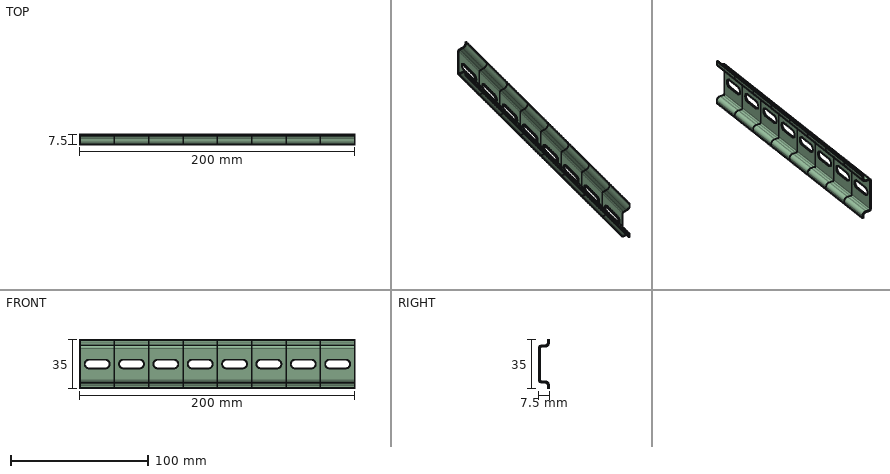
import cadquery as cq

rail_length = 200.0
segment_count = 8
segment_length = rail_length / segment_count

rail_height = 35.0
rail_depth = rail_height * 7.5 / 35
hat_height = 27.0
sheet_thickness = 1.0
web_bend_radius = 1.0
flange_bend_radius = 2.0

slot_length = 18.0
slot_width = 6.2

front_y = -rail_depth / 2
back_y = rail_depth / 2


def make_profile():
    """Closed top-hat outline: web at the front, flanges turned outwards at the back."""
    top_z = rail_height / 2
    hat_top_z = hat_height / 2
    hat_inner_z = hat_top_z - sheet_thickness
    flange_front_y = back_y - sheet_thickness
    web_back_y = front_y + sheet_thickness

    outer_path = [
        (flange_front_y, top_z),
        (flange_front_y, hat_top_z),
        (front_y, hat_top_z),
        (front_y, -hat_top_z),
        (flange_front_y, -hat_top_z),
        (flange_front_y, -top_z),
    ]
    inner_path = [
        (back_y, -top_z),
        (back_y, -hat_inner_z),
        (web_back_y, -hat_inner_z),
        (web_back_y, hat_inner_z),
        (back_y, hat_inner_z),
        (back_y, top_z),
    ]
    return cq.Workplane("YZ").polyline(outer_path + inner_path).close()


def round_bends(segment):
    """Round both sides of every bend, keeping the sheet thickness constant."""
    hat_outer_z = hat_height / 2
    hat_inner_z = hat_outer_z - sheet_thickness
    bends = [
        (back_y - sheet_thickness, hat_outer_z, flange_bend_radius),
        (back_y, hat_inner_z, flange_bend_radius + sheet_thickness),
        (front_y + sheet_thickness, hat_inner_z, web_bend_radius),
        (front_y, hat_outer_z, web_bend_radius + sheet_thickness),
    ]
    for y, z, radius in bends:
        for side in (1, -1):
            corner = (segment_length / 2, y, side * z)
            segment = segment.edges(cq.selectors.NearestToPointSelector(corner)).fillet(radius)
    return segment


def make_segment():
    """One segment, starting at X = 0, with its slot cut through the web."""
    segment = round_bends(make_profile().extrude(segment_length))
    slot = (
        cq.Workplane("XZ", origin=(segment_length / 2, front_y + sheet_thickness, 0))
        .slot2D(slot_length, slot_width)
        .extrude(sheet_thickness)
    )
    return segment.cut(slot)


segments = []
for index in range(segment_count):
    start_x = index * segment_length - rail_length / 2
    segments.append(make_segment().translate((start_x, 0, 0)))

result = cq.Compound.makeCompound([segment.val() for segment in segments])